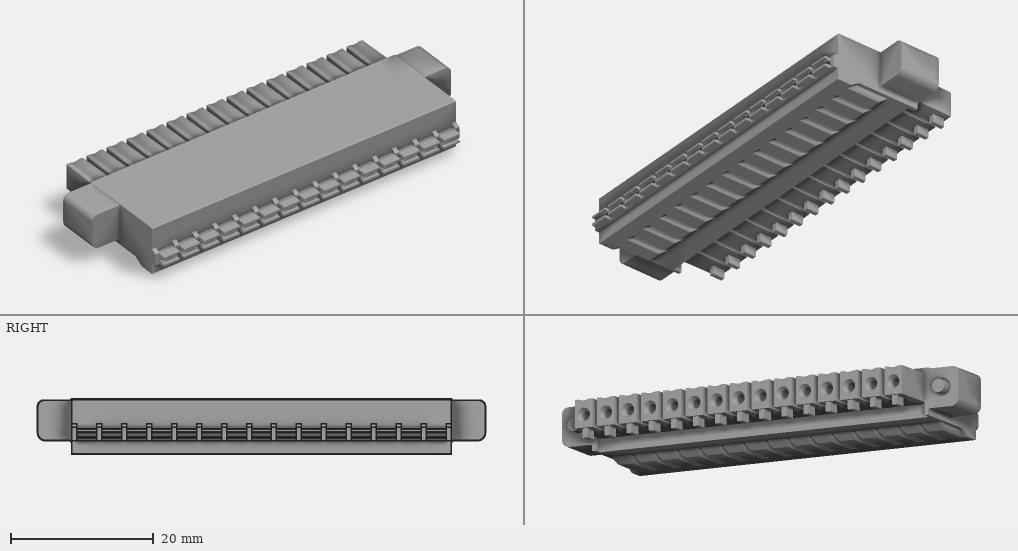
import cadquery as cq

OVERALL_LENGTH = 22.8
OVERALL_WIDTH = 62.8
OVERALL_HEIGHT = 7.75

POLE_COUNT = 15
POLE_PITCH = 3.5
AXIS_Z = 4.72

BODY_WIDTH = 53.2
BODY_FRONT_X = 6.6
BODY_BACK_X = 20.95
BODY_FLOOR_Z = 0.93
RAMP_START_X = 17.07
RAMP_END_X = 18.5
BACK_CHAMFER = 0.15
RECESS_DEPTH = 1.25

PLUG_TIP_WIDTH = 2.78
PLUG_ROOT_WIDTH = 3.0
PLUG_BOTTOM_Z = 2.86
PLUG_TOP_Z = 6.95
GROOVE_WIDTH = 1.5
GROOVE_DEPTH = 0.17
SOCKET_MOUTH_DIAMETER = 2.0
SOCKET_BORE_DIAMETER = 1.25
SOCKET_MOUTH_DEPTH = 0.75
SOCKET_DEPTH = 4.0

KEY_START_X = 0.4
KEY_LENGTH = 2.0
KEY_WIDTH = 0.8
KEY_BOTTOM_Z = 1.5
KEY_FILLET = 0.15

PAD_TIP_X = 12.8
PAD_START_X = 11.5
PAD_BASE_WIDTH = PLUG_ROOT_WIDTH
PAD_TIP_WIDTH = 2.2
PAD_SIDE_BULGE = 0.12

FLANGE_LENGTH = 6.8
FLANGE_HEIGHT = 5.7
FLANGE_TOP_CORNER_RADIUS = 0.95
FLANGE_BOTTOM_CORNER_RADIUS = 1.15
FLANGE_TOP_ROOT_RADIUS = 0.18
FLANGE_BOTTOM_ROOT_RADIUS = 0.35
SCREW_INSET_Y = 2.25
SCREW_DIAMETER = 1.95
SCREW_PROTRUSION = 1.3
SCREW_HOLE_DIAMETER = 2.65
SCREW_HOLE_DEPTH = 0.3

NOSE_BACK_X = 21.75
NOSE_BOTTOM_Z = 1.85
NOSE_TOP_Z = 4.22
NOSE_EDGE_Z = 3.75
TAB_WIDTH = 2.8
TAB_ROOT_END_X = 22.25
TAB_ROOT_THICKNESS = 0.55
TAB_TIP_THICKNESS = 0.4
TAB_TIP_CHAMFER = 0.1
UPPER_TAB_TOP_Z = 3.55
LOWER_TAB_BOTTOM_Z = NOSE_BOTTOM_Z

POLE_CENTERS = [(i - (POLE_COUNT - 1) / 2) * POLE_PITCH for i in range(POLE_COUNT)]
SIDES = (-1, 1)
ROW_WIDTH = (POLE_COUNT - 1) * POLE_PITCH + PLUG_ROOT_WIDTH
FLANGE_WIDTH = (OVERALL_WIDTH - BODY_WIDTH) / 2
FLANGE_BOTTOM_Z = AXIS_Z - FLANGE_HEIGHT / 2
FLANGE_TOP_Z = AXIS_Z + FLANGE_HEIGHT / 2


def block(x_min, x_max, y_center, width, z_min, z_max):
    """Box given by its X and Z limits, centred on y_center."""
    size = (x_max - x_min, width, z_max - z_min)
    corner = cq.Vector(x_min, y_center - width / 2, z_min)
    return cq.Workplane(obj=cq.Solid.makeBox(*size, corner))


def extrude_side_profile(points, y_center, width):
    """Extrude an X-Z outline over a width centred on y_center."""
    plane = cq.Workplane("XZ", origin=(0, y_center, 0))
    return plane.polyline(points).close().extrude(width / 2, both=True)


def cylinder(x_min, x_max, y_center, diameter):
    """Cylinder along X at the common axis height."""
    start = cq.Vector(x_min, y_center, AXIS_Z)
    solid = cq.Solid.makeCylinder(diameter / 2, x_max - x_min, start, cq.Vector(1, 0, 0))
    return cq.Workplane(obj=solid)


def housing():
    """Main block with a raised, ramped floor and a recess below the plug fingers."""
    outline = [
        (BODY_FRONT_X, BODY_FLOOR_Z),
        (RAMP_START_X, BODY_FLOOR_Z),
        (RAMP_END_X, 0),
        (BODY_BACK_X, 0),
        (BODY_BACK_X, OVERALL_HEIGHT - BACK_CHAMFER),
        (BODY_BACK_X - BACK_CHAMFER, OVERALL_HEIGHT),
        (BODY_FRONT_X, OVERALL_HEIGHT),
    ]
    recess = block(
        BODY_FRONT_X, BODY_FRONT_X + RECESS_DEPTH, 0, ROW_WIDTH, BODY_FLOOR_Z, PLUG_BOTTOM_Z
    )
    return extrude_side_profile(outline, 0, BODY_WIDTH).cut(recess)


def floor_pad(y):
    """Pad with rounded flanks and a sloping front that fills the step under the housing."""
    base = PAD_BASE_WIDTH / 2
    tip = PAD_TIP_WIDTH / 2
    flank = (base + tip) / 2 + PAD_SIDE_BULGE
    section = (
        cq.Workplane("YZ", origin=(PAD_START_X, y, 0))
        .moveTo(-base, BODY_FLOOR_Z)
        .threePointArc((-flank, BODY_FLOOR_Z / 2), (-tip, 0))
        .lineTo(tip, 0)
        .threePointArc((flank, BODY_FLOOR_Z / 2), (base, BODY_FLOOR_Z))
        .close()
        .extrude(RAMP_END_X - PAD_START_X)
    )
    front_slope = extrude_side_profile(
        [(PAD_START_X, BODY_FLOOR_Z), (PAD_START_X, 0), (PAD_TIP_X, 0)], y, PAD_BASE_WIDTH
    )
    return section.cut(front_slope)


def plug_finger(y):
    """Finger widening toward its root, with a shallow top groove, a flared socket and a key."""
    tip = PLUG_TIP_WIDTH / 2
    root = PLUG_ROOT_WIDTH / 2
    finger = (
        cq.Workplane("XY", origin=(0, y, PLUG_BOTTOM_Z))
        .polyline([(0, -tip), (BODY_FRONT_X, -root), (BODY_FRONT_X, root), (0, tip)])
        .close()
        .extrude(PLUG_TOP_Z - PLUG_BOTTOM_Z)
    )
    groove = (
        cq.Workplane("YZ", origin=(0, y, PLUG_TOP_Z))
        .moveTo(-GROOVE_WIDTH / 2, 0)
        .threePointArc((0, -GROOVE_DEPTH), (GROOVE_WIDTH / 2, 0))
        .close()
        .extrude(BODY_FRONT_X)
    )
    socket_mouth = cq.Solid.makeCone(
        SOCKET_MOUTH_DIAMETER / 2,
        SOCKET_BORE_DIAMETER / 2,
        SOCKET_MOUTH_DEPTH,
        cq.Vector(0, y, AXIS_Z),
        cq.Vector(1, 0, 0),
    )
    socket = cylinder(0, SOCKET_DEPTH, y, SOCKET_BORE_DIAMETER).union(cq.Workplane(obj=socket_mouth))
    key = block(KEY_START_X, KEY_START_X + KEY_LENGTH, y, KEY_WIDTH, KEY_BOTTOM_Z, PLUG_BOTTOM_Z)
    key = key.faces("<Z").edges("|X").fillet(KEY_FILLET)
    return finger.cut(groove).cut(socket).union(key)


def root_fillet(side, z, direction, radius):
    """Concave fillet between a flange face at height z and the housing end face."""
    y_wall = side * BODY_WIDTH / 2
    y_out = y_wall + side * radius
    z_out = z + direction * radius
    corner = block(
        BODY_FRONT_X,
        BODY_FRONT_X + FLANGE_LENGTH,
        (y_wall + y_out) / 2,
        radius,
        min(z, z_out),
        max(z, z_out),
    )
    relief = cq.Solid.makeCylinder(
        radius,
        FLANGE_LENGTH,
        cq.Vector(BODY_FRONT_X, y_out, z_out),
        cq.Vector(1, 0, 0),
    )
    return corner.cut(cq.Workplane(obj=relief))


def screw_flange(side):
    """End flange with rounded outer corners and a screw tip standing in a clearance hole."""
    back_x = BODY_FRONT_X + FLANGE_LENGTH
    y_center = side * (BODY_WIDTH + FLANGE_WIDTH) / 2
    y_screw = side * (BODY_WIDTH / 2 + SCREW_INSET_Y)
    flange = block(BODY_FRONT_X, back_x, y_center, FLANGE_WIDTH, FLANGE_BOTTOM_Z, FLANGE_TOP_Z)
    outer_face = ">Y" if side > 0 else "<Y"
    top_corner = f"|X and {outer_face} and >Z"
    bottom_corner = f"|X and {outer_face} and <Z"
    flange = flange.edges(top_corner).fillet(FLANGE_TOP_CORNER_RADIUS)
    flange = flange.edges(bottom_corner).fillet(FLANGE_BOTTOM_CORNER_RADIUS)
    flange = flange.union(root_fillet(side, FLANGE_BOTTOM_Z, -1, FLANGE_BOTTOM_ROOT_RADIUS))
    flange = flange.union(root_fillet(side, FLANGE_TOP_Z, 1, FLANGE_TOP_ROOT_RADIUS))
    hole_end_x = BODY_FRONT_X + SCREW_HOLE_DEPTH
    hole = cylinder(BODY_FRONT_X, hole_end_x, y_screw, SCREW_HOLE_DIAMETER)
    screw = cylinder(BODY_FRONT_X - SCREW_PROTRUSION, hole_end_x, y_screw, SCREW_DIAMETER)
    return flange.cut(hole).union(screw)


def nose():
    """Sloped nose along the back face, open at every pole so that only ribs remain."""
    outline = [
        (BODY_BACK_X, NOSE_BOTTOM_Z),
        (NOSE_BACK_X, NOSE_BOTTOM_Z),
        (NOSE_BACK_X, NOSE_EDGE_Z),
        (BODY_BACK_X, NOSE_TOP_Z),
    ]
    ribs = extrude_side_profile(outline, 0, BODY_WIDTH)
    for y in POLE_CENTERS:
        ribs = ribs.cut(block(BODY_BACK_X, NOSE_BACK_X, y, TAB_WIDTH, NOSE_BOTTOM_Z, NOSE_TOP_Z))
    return ribs


def contact_tab(y, outer_z, inward):
    """Stepped tab; outer_z is its flat outer face, inward the Z direction of its thickness."""
    root_z = outer_z + inward * TAB_ROOT_THICKNESS
    tip_z = outer_z + inward * TAB_TIP_THICKNESS
    outline = [
        (BODY_BACK_X, outer_z),
        (OVERALL_LENGTH - TAB_TIP_CHAMFER, outer_z),
        (OVERALL_LENGTH, outer_z + inward * TAB_TIP_CHAMFER),
        (OVERALL_LENGTH, tip_z),
        (TAB_ROOT_END_X, tip_z),
        (TAB_ROOT_END_X, root_z),
        (BODY_BACK_X, root_z),
    ]
    return extrude_side_profile(outline, y, TAB_WIDTH)


result = housing().union(nose())
for side in SIDES:
    result = result.union(screw_flange(side))
for y in POLE_CENTERS:
    result = result.union(floor_pad(y))
    result = result.union(plug_finger(y))
    result = result.union(contact_tab(y, UPPER_TAB_TOP_Z, -1))
    result = result.union(contact_tab(y, LOWER_TAB_BOTTOM_Z, 1))